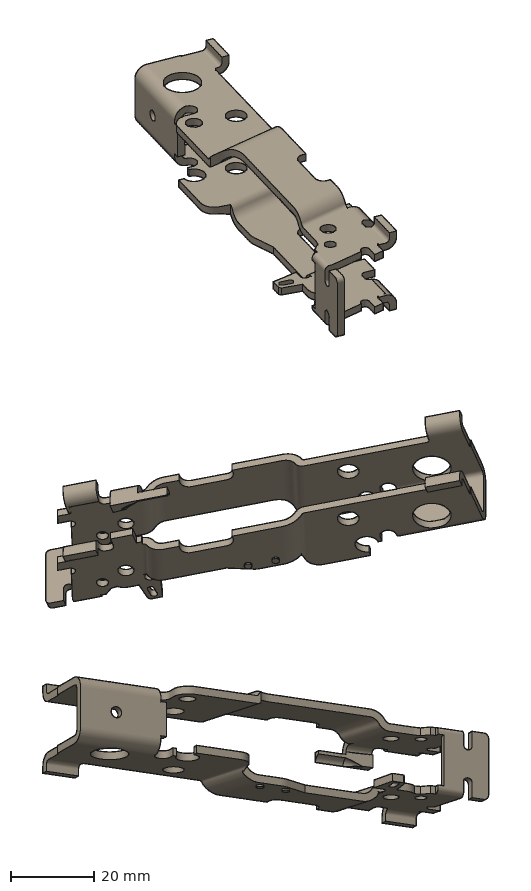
import cadquery as cq
import math

SHEET = 2.0
LENGTH = 109.7
HALF_HEIGHT = 8.3
BULGE_HALF_HEIGHT = 11.3
INNER_FACE = HALF_HEIGHT - SHEET
BACK_EDGE = 16.9
NARROW_EDGE = 3.3
WIDE_EDGE = -3.0

SLANT = 15.0
JOGGLE_START = 43.5
JOGGLE_END = 82.7
JOGGLE_RUN = 5.3
JOGGLE_RISE = BULGE_HALF_HEIGHT - HALF_HEIGHT
JOGGLE_ANGLE = 2 * math.atan(JOGGLE_RISE / JOGGLE_RUN)
JOGGLE_RADII = JOGGLE_RUN / math.sin(JOGGLE_ANGLE)
LEFT_TIGHT_RADIUS = 0.7
RIGHT_TIGHT_RADIUS = 1.3

LEFT_WEB_LENGTH = 21.6
LEFT_BEND_RADIUS = 3.3
LEFT_WEB_TAB_LENGTH = 1.5
LEFT_WEB_TAB_HEIGHT = 8.6
SIDE_STEP = 0.3
SIDE_STEP_Y = 12.4
WEB_HOLE_X = 9.7
WEB_HOLE_DIAMETER = 2.7

RELIEF_RADIUS = 2.0
RELIEF_TOP = 4.9
RELIEF_RIGHT = LEFT_WEB_LENGTH + 2 * RELIEF_RADIUS
CORNER_RADIUS = 3.8
PIN_X, PIN_Y = 29.4, 1.3
WIDE_END = 47.1
WIDE_ARC_RADIUS = 5.3

LIP_Y = 1.4
PIN_NOTCH_RADIUS = 2.9
PIN_NOTCH_WALL_X = 29.7
LOWER_WIDE_END = 41.6
LOWER_STEP_X = 45.2
LOWER_STEP_RADIUS = 3.6
WAIST_START, WAIST_END = 55.7, 63.3
WAIST_EDGE = 5.8
WAIST_BLEND_END = (57.4, 3.6)
WAIST_BLEND_RADIUS = 4.7
TONGUE_ROOT_LEFT, TONGUE_ROOT_RIGHT = 80.5, 86.2
TONGUE_TIP_LEFT, TONGUE_TIP_RIGHT = 82.1, 85.6
TONGUE_TIP_Y = -3.5
TONGUE_TIP_CHAMFER = 0.5
TONGUE_RELIEF_WIDTH = 2.4
TONGUE_RELIEF_END = 84.0
TONGUE_SLOT_X, TONGUE_SLOT_Y = 83.8, -0.9
TONGUE_SLOT_LENGTH, TONGUE_SLOT_WIDTH, TONGUE_SLOT_TILT = 3.7, 1.6, 85.0
LOWER_SHELF_Y = 2.3
LOWER_SHELF_END = 88.9
LOWER_SHELF_RADIUS = 3.6
LUG_LEFT = 82.3
DIMPLE_X = (51.0, 57.9)
DIMPLE_Y = 5.5
DIMPLE_DIAMETER, DIMPLE_HEIGHT = 1.9, 0.4

TAB_TOP = 11.0
TAB_BACK = 20.8
TAB_INNER_RADIUS = 1.0
LEFT_TAB = (SIDE_STEP, 9.0)
RIGHT_TAB = (91.5, 99.7)
HOOK = (81.0, 87.9)
HOOK_BACK = 21.1
HOOK_BOTTOM = 1.9
HOOK_FINGER_LEFT = 73.6
HOOK_FINGER_TOP = 4.4
HOOK_WEDGE = 0.7
SCOOP_RADIUS = 1.6
SCOOP_END = 85.6
TAB_FILLET = 0.8
RECESS = (58.6, 71.9)
RECESS_Y = 13.8
RECESS_RADIUS = 2.2
GAP_RADIUS = 1.3

PRONG_BACK, PRONG_FRONT = 15.8, 13.2
PRONG_TIP_X = 103.4
PRONG_ROOT_X = 99.0
END_NOTCH_RADIUS = 1.1
END_NOTCH_X = 100.4
RIGHT_FLANGE_END = 103.0
RIGHT_BEND_RADIUS = 1.3
RIGHT_INNER_RADIUS = 0.2
RIGHT_WEB_LEFT = 96.1
RIGHT_WINDOW_END = 97.7
NARROW_RIGHT_END = 91.4
DIAGONAL_TOP_X, DIAGONAL_TOP_Y = 92.9, 3.1
RIGHT_SLOT_WIDTH, RIGHT_SLOT_BOTTOM = 2.2, 3.5
RIGHT_WEB_CORNER = 1.3

FLANGE_HOLES = (
    (11.4, 7.1, 9.2),
    (30.9, 11.9, 5.2),
    (87.7, 8.5, 3.8),
    (PIN_X, PIN_Y, 4.1),
    (94.4, 5.7, 2.9),
)

TALL = 43.9
NORTH = 90.0


def box(x_range, y_range, z_range):
    size = [high - low for low, high in (x_range, y_range, z_range)]
    return cq.Workplane().box(*size, centered=False).translate((x_range[0], y_range[0], z_range[0]))


def drill(x, y, diameter):
    """Vertical cutter through the whole part."""
    return cq.Workplane().center(x, y).circle(diameter / 2).extrude(TALL, both=True)


def joggle(tight_radius, offset):
    """Ends and middles of both folds, `offset` below the outer face, as (distance, height)."""
    tight = tight_radius + offset
    wide = JOGGLE_RADII - tight
    tight_z = HALF_HEIGHT + tight_radius
    wide_z = BULGE_HALF_HEIGHT - offset - wide
    half_sine, half_cosine = math.sin(JOGGLE_ANGLE / 2), math.cos(JOGGLE_ANGLE / 2)
    sine, cosine = math.sin(JOGGLE_ANGLE), math.cos(JOGGLE_ANGLE)
    return [
        (0, HALF_HEIGHT - offset),
        (tight * half_sine, tight_z - tight * half_cosine),
        (tight * sine, tight_z - tight * cosine),
        (JOGGLE_RUN - wide * half_sine, wide_z + wide * half_cosine),
        (JOGGLE_RUN, BULGE_HALF_HEIGHT - offset),
    ]


def jogged_surface(offset):
    """Fold points of one face of the jogged sheet, from left to right."""
    left = [(JOGGLE_START + u, z) for u, z in joggle(LEFT_TIGHT_RADIUS, offset)]
    right = [(JOGGLE_END - u, z) for u, z in joggle(RIGHT_TIGHT_RADIUS, offset)]
    return left + right[::-1]


def trace(path, points):
    """Continue a path along a jogged surface: a line and two tangent arcs for each joggle."""
    for start, mid_1, meet, mid_2, end in (points[:5], points[5:]):
        path = path.lineTo(*start).threePointArc(mid_1, meet).threePointArc(mid_2, end)
    return path


def jogged_sheet():
    """Endless upper sheet with both joggles, before its outline is cut."""
    left, right = -LENGTH, 2 * LENGTH
    path = cq.Workplane("XZ").moveTo(left, HALF_HEIGHT)
    path = trace(path, jogged_surface(0)).lineTo(right, HALF_HEIGHT).lineTo(right, INNER_FACE)
    path = trace(path, jogged_surface(SHEET)[::-1]).lineTo(left, INNER_FACE).close()
    return path.extrude(LENGTH, both=True).rotate((0, 0, 0), (0, 0, 1), SLANT)


def back_outline(path):
    """Back edge of a flange, from the left end to the front of the right bend."""
    tab_root = BACK_EDGE + TAB_FILLET
    slope = math.tan(math.radians(SLANT))
    notch_y = PRONG_FRONT - END_NOTCH_RADIUS
    notch_foot = notch_y - END_NOTCH_RADIUS
    return (
        path.lineTo(0, SIDE_STEP_Y)
        .lineTo(SIDE_STEP, SIDE_STEP_Y)
        .lineTo(SIDE_STEP, tab_root)
        .lineTo(LEFT_TAB[1], tab_root)
        .radiusArc((LEFT_TAB[1] + TAB_FILLET, BACK_EDGE), -TAB_FILLET)
        .lineTo(RECESS[0], BACK_EDGE)
        .lineTo(RECESS[0], RECESS_Y + RECESS_RADIUS)
        .radiusArc((RECESS[0] + RECESS_RADIUS, RECESS_Y), -RECESS_RADIUS)
        .lineTo(RECESS[1] - RECESS_RADIUS, RECESS_Y)
        .radiusArc((RECESS[1], RECESS_Y + RECESS_RADIUS), -RECESS_RADIUS)
        .lineTo(RECESS[1], BACK_EDGE)
        .lineTo(HOOK[0], BACK_EDGE)
        .lineTo(HOOK[0], tab_root)
        .lineTo(HOOK[1], tab_root)
        .lineTo(HOOK[1], BACK_EDGE + GAP_RADIUS)
        .radiusArc((HOOK[1] + GAP_RADIUS, BACK_EDGE), -GAP_RADIUS)
        .lineTo(RIGHT_TAB[0] - GAP_RADIUS, BACK_EDGE)
        .radiusArc((RIGHT_TAB[0], BACK_EDGE + GAP_RADIUS), -GAP_RADIUS)
        .lineTo(PRONG_ROOT_X, BACK_EDGE + GAP_RADIUS)
        .lineTo(PRONG_ROOT_X, PRONG_BACK + TAB_FILLET)
        .radiusArc((PRONG_ROOT_X + TAB_FILLET, PRONG_BACK), -TAB_FILLET)
        .lineTo(PRONG_TIP_X - slope * (PRONG_BACK - PRONG_FRONT), PRONG_BACK)
        .lineTo(PRONG_TIP_X, PRONG_FRONT)
        .lineTo(END_NOTCH_X, PRONG_FRONT)
        .threePointArc((END_NOTCH_X - END_NOTCH_RADIUS, notch_y), (END_NOTCH_X, notch_foot))
        .lineTo(RIGHT_FLANGE_END - slope * (notch_foot - SHEET), notch_foot)
        .lineTo(RIGHT_FLANGE_END, SHEET)
        .lineTo(RIGHT_FLANGE_END, RIGHT_BEND_RADIUS)
    )


def right_diagonal_x(y):
    """X of the slanted front edge that runs into the right web."""
    share = (DIAGONAL_TOP_Y - y) / DIAGONAL_TOP_Y
    return DIAGONAL_TOP_X + share * (RIGHT_WEB_LEFT - DIAGONAL_TOP_X)


def flange_start():
    """Outline from the front right corner of the left bend, over the back, to the right bend."""
    path = cq.Workplane().moveTo(LEFT_WEB_LENGTH, LEFT_BEND_RADIUS).lineTo(0, LEFT_BEND_RADIUS)
    return (
        back_outline(path)
        .lineTo(right_diagonal_x(RIGHT_BEND_RADIUS), RIGHT_BEND_RADIUS)
        .lineTo(DIAGONAL_TOP_X, DIAGONAL_TOP_Y)
    )


def close_at_relief(path):
    """Round top of the relief slot, back to the start of the outline."""
    middle = (LEFT_WEB_LENGTH + RELIEF_RADIUS, RELIEF_TOP)
    slot_y = RELIEF_TOP - RELIEF_RADIUS
    return (
        path.lineTo(RELIEF_RIGHT, slot_y)
        .threePointArc(middle, (LEFT_WEB_LENGTH, slot_y))
        .close()
        .extrude(TALL, both=True)
    )


def upper_outline():
    corner_y = WIDE_EDGE + CORNER_RADIUS
    path = (
        flange_start()
        .lineTo(NARROW_RIGHT_END, NARROW_EDGE)
        .lineTo(WIDE_END + WIDE_ARC_RADIUS, NARROW_EDGE)
        .radiusArc((WIDE_END, NARROW_EDGE - WIDE_ARC_RADIUS), -WIDE_ARC_RADIUS)
        .lineTo(WIDE_END, WIDE_EDGE)
        .lineTo(RELIEF_RIGHT + CORNER_RADIUS, WIDE_EDGE)
        .radiusArc((RELIEF_RIGHT, corner_y), CORNER_RADIUS)
    )
    return close_at_relief(path)


def lower_outline():
    relief_radius = TONGUE_RELIEF_WIDTH / 2
    relief_y = WAIST_EDGE - relief_radius
    relief_x = TONGUE_RELIEF_END - relief_radius
    path = (
        flange_start()
        .lineTo(NARROW_RIGHT_END, NARROW_EDGE)
        .radiusArc((LOWER_SHELF_END, LOWER_SHELF_Y), LOWER_SHELF_RADIUS)
        .lineTo(TONGUE_ROOT_RIGHT, LOWER_SHELF_Y)
        .lineTo(TONGUE_TIP_RIGHT, TONGUE_TIP_Y + TONGUE_TIP_CHAMFER)
        .lineTo(TONGUE_TIP_RIGHT - TONGUE_TIP_CHAMFER, TONGUE_TIP_Y)
        .lineTo(TONGUE_TIP_LEFT, TONGUE_TIP_Y)
        .lineTo(TONGUE_ROOT_LEFT, WAIST_EDGE - TONGUE_RELIEF_WIDTH)
        .lineTo(relief_x, WAIST_EDGE - TONGUE_RELIEF_WIDTH)
        .threePointArc((TONGUE_RELIEF_END, relief_y), (relief_x, WAIST_EDGE))
        .lineTo(WAIST_END, WAIST_EDGE)
        .lineTo(*WAIST_BLEND_END)
        .radiusArc((WAIST_START, NARROW_EDGE), WAIST_BLEND_RADIUS)
        .lineTo(LOWER_STEP_X, NARROW_EDGE)
        .lineTo(LOWER_STEP_X, WIDE_EDGE + LOWER_STEP_RADIUS)
        .radiusArc((LOWER_WIDE_END, WIDE_EDGE), LOWER_STEP_RADIUS)
        .lineTo(PIN_NOTCH_WALL_X, WIDE_EDGE)
        .lineTo(PIN_NOTCH_WALL_X, LIP_Y)
        .lineTo(RELIEF_RIGHT, LIP_Y)
    )
    slot = (
        cq.Workplane()
        .center(TONGUE_SLOT_X, TONGUE_SLOT_Y)
        .slot2D(TONGUE_SLOT_LENGTH, TONGUE_SLOT_WIDTH, TONGUE_SLOT_TILT)
        .extrude(TALL, both=True)
    )
    return close_at_relief(path).cut(drill(PIN_X, PIN_Y, 2 * PIN_NOTCH_RADIUS)).cut(slot)


def curled_edge(x_range, back, end_height, inner_radius):
    """Strip along the back edge of the upper flange, curled away from it to rise to end_height."""
    outer_radius = inner_radius + SHEET
    bend_y = back - outer_radius
    root = BACK_EDGE - TAB_FILLET
    profile = (
        cq.Workplane("YZ", origin=(x_range[0], 0, 0))
        .moveTo(root, 0)
        .lineTo(bend_y, 0)
        .radiusArc((back, outer_radius), -outer_radius)
        .lineTo(back, end_height)
        .lineTo(back - SHEET, end_height)
        .lineTo(back - SHEET, outer_radius)
        .radiusArc((bend_y, SHEET), inner_radius)
        .lineTo(root, SHEET)
        .close()
    )
    return profile.extrude(x_range[1] - x_range[0])


def tabs():
    """The two back tabs of the upper flange, curled outwards."""
    rise = TAB_TOP - INNER_FACE
    left, right = (curled_edge(span, TAB_BACK, rise, TAB_INNER_RADIUS) for span in (LEFT_TAB, RIGHT_TAB))
    return left.union(right).translate((0, 0, INNER_FACE))


def hook():
    """Back strip of the upper flange curled inwards, with a finger reaching left."""
    drop = HALF_HEIGHT - HOOK_BOTTOM
    curl = curled_edge(HOOK, HOOK_BACK, drop, LEFT_BEND_RADIUS - SHEET)
    curl = curl.mirror("XY").translate((0, 0, HALF_HEIGHT))
    inner_y = HOOK_BACK - SHEET
    finger_heights = (HOOK_BOTTOM, HOOK_FINGER_TOP)
    finger = box((HOOK_FINGER_LEFT, HOOK[0]), (inner_y, HOOK_BACK), finger_heights)
    wedge = (
        cq.Workplane(origin=(0, 0, HOOK_BOTTOM))
        .moveTo(HOOK[0], inner_y)
        .lineTo(HOOK[1], inner_y - HOOK_WEDGE)
        .lineTo(HOOK[1], inner_y)
        .close()
        .extrude(HALF_HEIGHT - LEFT_BEND_RADIUS - HOOK_BOTTOM)
    )
    scoop = (
        cq.Workplane(origin=(0, inner_y, HOOK_BOTTOM))
        .moveTo(HOOK_FINGER_LEFT, 0)
        .lineTo(HOOK_FINGER_LEFT, SCOOP_RADIUS)
        .lineTo(HOOK[0], SCOOP_RADIUS)
        .lineTo(SCOOP_END, 0)
        .close()
        .revolve(360, (0, 0, 0), (1, 0, 0))
    )
    return curl.union(finger).union(wedge).cut(scoop)


def channel(x_range, outer_radius, inner_radius):
    """Web with its two bends, up to where the flat flanges begin."""

    def bar(inset, radius):
        half = HALF_HEIGHT - inset
        return box(x_range, (inset, BACK_EDGE), (-half, half)).edges("|X and <Y").fillet(radius)

    front = box(x_range, (0, outer_radius), (-TALL, TALL))
    return bar(0, outer_radius).cut(bar(SHEET, inner_radius)).intersect(front)


def left_web():
    web = channel((0, LEFT_WEB_LENGTH), LEFT_BEND_RADIUS, LEFT_BEND_RADIUS - SHEET)
    half_tab = LEFT_WEB_TAB_HEIGHT / 2
    tab_end = LEFT_WEB_LENGTH + LEFT_WEB_TAB_LENGTH
    tab = box((LEFT_WEB_LENGTH, tab_end), (0, SHEET), (-half_tab, half_tab))
    hole = (
        cq.Workplane("XZ")
        .center(WEB_HOLE_X, 0)
        .circle(WEB_HOLE_DIAMETER / 2)
        .extrude(2 * SHEET, both=True)
    )
    return web.union(tab).cut(hole)


def right_web():
    """Web whose end plate carries on past the flanges as a slotted, round-cornered tail."""
    slot_end = RIGHT_FLANGE_END + RIGHT_SLOT_WIDTH
    folded = channel((RIGHT_WEB_LEFT, RIGHT_FLANGE_END), RIGHT_BEND_RADIUS, RIGHT_INNER_RADIUS)
    diagonal = (
        cq.Workplane()
        .moveTo(RIGHT_WEB_LEFT, 0)
        .lineTo(right_diagonal_x(SHEET), SHEET)
        .lineTo(RIGHT_FLANGE_END, SHEET)
        .lineTo(RIGHT_FLANGE_END, 0)
        .close()
        .extrude(TALL, both=True)
    )
    window = box((DIAGONAL_TOP_X, RIGHT_WINDOW_END), (0, SHEET), (-INNER_FACE, INNER_FACE))
    tail = box((RIGHT_FLANGE_END, LENGTH), (0, SHEET), (-HALF_HEIGHT, HALF_HEIGHT))
    tail = tail.edges("|Y and >X").fillet(RIGHT_WEB_CORNER)
    web = folded.intersect(diagonal).cut(window).union(tail)
    for side in (1, -1):
        slot = (
            cq.Workplane("XZ")
            .center((RIGHT_FLANGE_END + slot_end) / 2, side * (RIGHT_SLOT_BOTTOM + TALL / 2))
            .slot2D(TALL, RIGHT_SLOT_WIDTH, NORTH)
            .extrude(2 * SHEET, both=True)
        )
        web = web.cut(slot)
    return web


def upper_flange():
    return jogged_sheet().intersect(upper_outline()).union(tabs()).union(hook())


def lower_flange():
    lug = box((LUG_LEFT, HOOK[1]), (BACK_EDGE, TAB_BACK), (INNER_FACE, HALF_HEIGHT))
    tongue_span = (TONGUE_ROOT_LEFT, TONGUE_ROOT_RIGHT)
    tongue_depth = (TONGUE_TIP_Y, WAIST_EDGE)
    sheet = jogged_sheet().cut(box(tongue_span, tongue_depth, (0, TALL)))
    sheet = sheet.union(box(tongue_span, tongue_depth, (INNER_FACE, HALF_HEIGHT)))
    flange = sheet.mirror("XY").intersect(lower_outline())
    flange = flange.union(tabs().union(lug).mirror("XY"))
    dimples = (
        cq.Workplane(origin=(0, 0, -BULGE_HALF_HEIGHT))
        .pushPoints([(x, DIMPLE_Y) for x in DIMPLE_X])
        .circle(DIMPLE_DIAMETER / 2)
        .extrude(-DIMPLE_HEIGHT)
    )
    return flange.union(dimples)


result = upper_flange().union(lower_flange()).union(left_web()).union(right_web())
for hole_x, hole_y, hole_diameter in FLANGE_HOLES:
    result = result.cut(drill(hole_x, hole_y, hole_diameter))